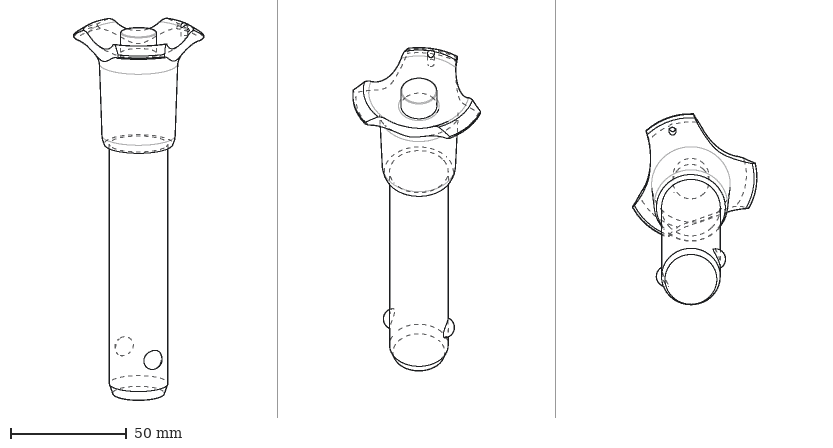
import cadquery as cq
import math

TOTAL_LENGTH = 162.7

SHANK_RADIUS = 12.7
SHANK_LENGTH = 112.0
NOSE_RADIUS = 11.2
NOSE_LENGTH = 4.4

BALL_RADIUS = 4.5
BALL_REACH = 15.7
BALL_HEIGHT = 18.1

HANDLE_HEIGHT = TOTAL_LENGTH - SHANK_LENGTH
FOOT_RADIUS = 14.9
FOOT_HEIGHT = 3.9
FOOT_BULGE_RADIUS = 15.55
FOOT_BULGE_HEIGHT = 1.7
GRIP_BOTTOM_RADIUS = 15.9
GRIP_TOP_RADIUS = 17.0
GRIP_TOP = HANDLE_HEIGHT - 14.6

RIM_RADIUS = 28.57
RIM_UPPER_DEPTH = 3.1
RIM_LOWER_DEPTH = 4.1
FLARE_END_RADIUS = 27.3
FLARE_END_DEPTH = 5.0
FLARE_MIDDLE_RADIUS = 20.1
FLARE_MIDDLE_DEPTH = 8.3

CREST_RADIUS = 24.0
BOWL_MOUTH_RADIUS = 21.7
BOWL_MOUTH_DEPTH = 1.3
BOWL_MIDDLE_RADIUS = 18.2
BOWL_MIDDLE_DEPTH = 5.05
BOWL_FLOOR_RADIUS = 8.8
BOWL_DEPTH = 10.0

BUTTON_RADIUS = 7.75
BUTTON_TOP_DEPTH = 0.5
BUTTON_FILLET = 0.35

SCALLOP_REACH = 18.25
SIDE_SCALLOP_RADIUS = 36.6
FRONT_SCALLOP_RADIUS = 56.0
SIDE_SCALLOP_ANGLES = (30, 150)
FRONT_SCALLOP_ANGLE = 270

LANYARD_HOLE_RADIUS = 1.5
LANYARD_HOLE_OFFSET = 23.0


def make_shank():
    outline = (
        cq.Workplane("XZ")
        .moveTo(0, -SHANK_LENGTH)
        .lineTo(NOSE_RADIUS, -SHANK_LENGTH)
        .lineTo(SHANK_RADIUS, -SHANK_LENGTH + NOSE_LENGTH)
        .lineTo(SHANK_RADIUS, FOOT_HEIGHT)
        .lineTo(0, FOOT_HEIGHT)
        .close()
    )
    return outline.revolve(360, (0, 0), (0, 1))


def make_ball(side):
    center_x = side * (BALL_REACH - BALL_RADIUS)
    center_z = BALL_HEIGHT - SHANK_LENGTH
    return cq.Workplane("XY").sphere(BALL_RADIUS).translate((center_x, 0, center_z))


def crest_arc_middle():
    """Middle point of the crest rounding, an arc that starts level at the crest."""
    width = CREST_RADIUS - BOWL_MOUTH_RADIUS
    arc_radius = (width**2 + BOWL_MOUTH_DEPTH**2) / (2 * BOWL_MOUTH_DEPTH)
    half_sweep = math.asin(width / arc_radius) / 2
    radius = CREST_RADIUS - arc_radius * math.sin(half_sweep)
    depth = arc_radius * (1 - math.cos(half_sweep))
    return radius, HANDLE_HEIGHT - depth


def make_handle_blank():
    """Revolved grip, flare, rim and bowl before the lobes are cut."""
    top = HANDLE_HEIGHT
    outline = (
        cq.Workplane("XZ")
        .lineTo(FOOT_RADIUS, 0)
        .threePointArc((FOOT_BULGE_RADIUS, FOOT_BULGE_HEIGHT), (GRIP_BOTTOM_RADIUS, FOOT_HEIGHT))
        .lineTo(GRIP_TOP_RADIUS, GRIP_TOP)
        .threePointArc(
            (FLARE_MIDDLE_RADIUS, top - FLARE_MIDDLE_DEPTH),
            (FLARE_END_RADIUS, top - FLARE_END_DEPTH),
        )
        .lineTo(RIM_RADIUS, top - RIM_LOWER_DEPTH)
        .lineTo(RIM_RADIUS, top - RIM_UPPER_DEPTH)
        .lineTo(CREST_RADIUS, top)
        .threePointArc(crest_arc_middle(), (BOWL_MOUTH_RADIUS, top - BOWL_MOUTH_DEPTH))
        .threePointArc(
            (BOWL_MIDDLE_RADIUS, top - BOWL_MIDDLE_DEPTH),
            (BOWL_FLOOR_RADIUS, top - BOWL_DEPTH),
        )
        .lineTo(0, top - BOWL_DEPTH)
        .close()
    )
    return outline.revolve(360, (0, 0), (0, 1))


def make_scallop(angle, radius):
    """Upright cylinder that takes one scallop out of the rim."""
    distance = SCALLOP_REACH + radius
    x = distance * math.cos(math.radians(angle))
    y = distance * math.sin(math.radians(angle))
    height = HANDLE_HEIGHT - GRIP_TOP
    return cq.Workplane("XY", origin=(x, y, GRIP_TOP)).circle(radius).extrude(height)


def make_lanyard_hole():
    origin = (0, LANYARD_HOLE_OFFSET, GRIP_TOP)
    height = HANDLE_HEIGHT - GRIP_TOP
    return cq.Workplane("XY", origin=origin).circle(LANYARD_HOLE_RADIUS).extrude(height)


def make_button():
    height = HANDLE_HEIGHT - BUTTON_TOP_DEPTH - GRIP_TOP
    button = cq.Workplane("XY", origin=(0, 0, GRIP_TOP)).circle(BUTTON_RADIUS).extrude(height)
    return button.faces(">Z").edges().fillet(BUTTON_FILLET)


handle = make_handle_blank()
for scallop_angle in SIDE_SCALLOP_ANGLES:
    handle = handle.cut(make_scallop(scallop_angle, SIDE_SCALLOP_RADIUS))
handle = handle.cut(make_scallop(FRONT_SCALLOP_ANGLE, FRONT_SCALLOP_RADIUS))
handle = handle.cut(make_lanyard_hole())

result = handle.union(make_button()).union(make_shank())
for side in (-1, 1):
    result = result.union(make_ball(side))